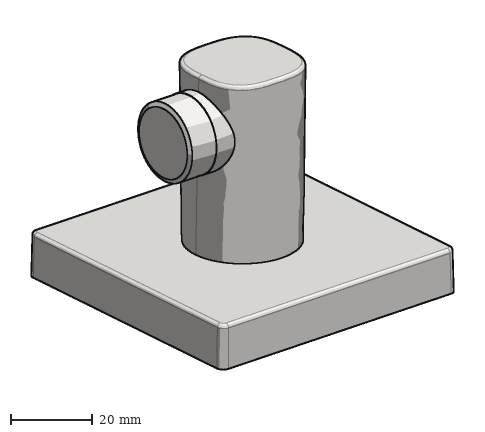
import math
import cadquery as cq

plate_side = 75.0
plate_height = 12.0
plate_draft = 1.0
plate_corner_radius = 2.0
plate_top_fillet = 1.0

part_height = 60.0
foot_radius = 15.0
top_half_width = 14.0
top_squareness = 2.9
top_fillet = 1.0
half_outline_steps = 16

spout_height = 45.0
spout_reach = 25.3
spout_joint = 17.0
neck_radius = 10.6
cap_radius = 10.5
cap_chamfer_length = 0.6
cap_chamfer_width = 1.2


def make_plate():
    """Square slab, narrowing upwards, with rounded corners and top rim."""
    slab = (
        cq.Workplane("XY")
        .rect(plate_side, plate_side)
        .extrude(plate_height, taper=plate_draft)
    )
    slab = slab.edges("not(|X or |Y)").fillet(plate_corner_radius)
    return slab.faces(">Z").edges().fillet(plate_top_fillet)


def superellipse_point(angle):
    """Point of the squarish top outline in the direction of the angle."""
    cosine = math.cos(angle)
    sine = math.sin(angle)
    norm = (abs(cosine) ** top_squareness + abs(sine) ** top_squareness) ** (1 / top_squareness)
    return (top_half_width * cosine / norm, top_half_width * sine / norm)


def half_outline(start_angle):
    """Points of half of the top outline, counter-clockwise from the start angle."""
    step = math.pi / half_outline_steps
    return [superellipse_point(start_angle + i * step) for i in range(half_outline_steps + 1)]


def make_column():
    """Loft from the round foot to the squarish top, seams at -Y and +Y."""
    column = (
        cq.Workplane("XY", origin=(0, 0, plate_height))
        .moveTo(0, -foot_radius)
        .threePointArc((foot_radius, 0), (0, foot_radius))
        .threePointArc((-foot_radius, 0), (0, -foot_radius))
        .close()
        .workplane(offset=part_height - plate_height)
        .moveTo(0, -top_half_width)
        .spline(half_outline(-math.pi / 2)[1:], tangents=[(1, 0), (-1, 0)], includeCurrent=True)
        .spline(half_outline(math.pi / 2)[1:], tangents=[(-1, 0), (1, 0)], includeCurrent=True)
        .close()
        .loft(ruled=True)
    )
    return column.faces(">Z").edges().fillet(top_fillet)


def make_spout():
    """Stepped round spout: neck, slightly smaller cap and bevelled end."""
    return (
        cq.Workplane("XY")
        .moveTo(0, 0)
        .lineTo(neck_radius, 0)
        .lineTo(neck_radius, -spout_joint)
        .lineTo(cap_radius, -spout_joint)
        .lineTo(cap_radius, -spout_reach + cap_chamfer_length)
        .lineTo(cap_radius - cap_chamfer_width, -spout_reach)
        .lineTo(0, -spout_reach)
        .close()
        .revolve(360, (0, 0, 0), (0, 1, 0))
        .translate((0, 0, spout_height))
    )


result = make_plate().union(make_column()).union(make_spout())